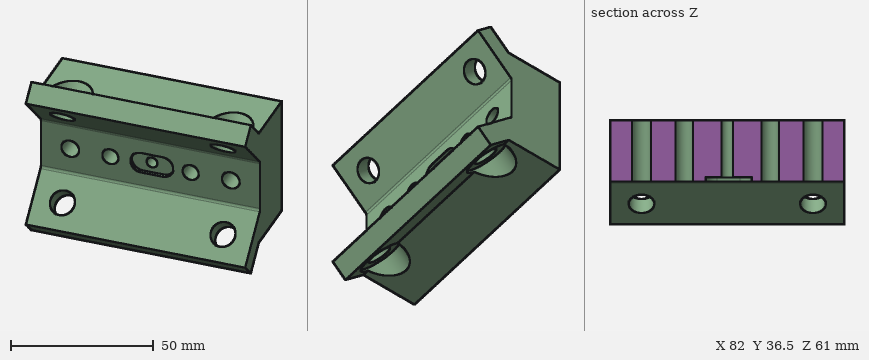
import cadquery as cq
import math

length = 82.0
depth = 36.5
height = 61.02

block_height = 45.0
web_thickness = 21.5
flange_thickness = 8.0
root_fillet = 1.5

flange_hole_spacing = 60.0
flange_hole_diameter = 9.0
flange_hole_inner_z = 17.68
spot_face_diameter = 17.0
spot_face_depth = 1.0

outer_hole_spacing = 60.0
outer_hole_diameter = 6.6
inner_hole_spacing = 30.0
inner_hole_diameter = 6.0
center_hole_diameter = 4.0

slot_length = 16.0
slot_width = 8.0
slot_offset_x = 0.5
slot_depth = 1.5

flange_step = flange_thickness * math.sin(math.radians(45))
tip_z = height / 2
tip_y = -(depth - flange_step)
inner_tip_z = tip_z - flange_step
elbow_z = block_height / 2
elbow_y = tip_y + (tip_z - elbow_z)
root_z = inner_tip_z - (depth - web_thickness)


def make_body():
    """Extrude the symmetric section along X and round the flange roots."""
    upper_half = [
        (0, elbow_z),
        (elbow_y, elbow_z),
        (tip_y, tip_z),
        (-depth, inner_tip_z),
        (-web_thickness, root_z),
    ]
    lower_half = [(y, -z) for y, z in reversed(upper_half)]
    section = cq.Workplane("YZ").polyline(upper_half + lower_half).close()
    body = section.extrude(length / 2, both=True)
    roots = cq.selectors.BoxSelector(
        (-length, -web_thickness - root_fillet, -root_z - root_fillet),
        (length, -web_thickness + root_fillet, root_z + root_fillet),
    )
    return body.edges("|X").edges(roots).fillet(root_fillet)


def flange_hole_cutter(x, side):
    """Hole and spot face on the upper (side = 1) or lower (side = -1) flange."""
    inner_y = -(depth - (inner_tip_z - flange_hole_inner_z))
    outward = cq.Vector(0, 1, side).normalized()
    inner_point = cq.Vector(x, inner_y, side * flange_hole_inner_z)
    floor_point = inner_point + outward * (flange_thickness - spot_face_depth)
    start_point = inner_point - outward * flange_thickness
    hole = cq.Solid.makeCylinder(flange_hole_diameter / 2, depth, start_point, outward)
    spot_face = cq.Solid.makeCylinder(spot_face_diameter / 2, depth, floor_point, outward)
    return hole.fuse(spot_face)


def web_hole_cutter(x, diameter):
    """Straight hole along Y at mid height."""
    return cq.Solid.makeCylinder(diameter / 2, depth, cq.Vector(x, 0, 0), cq.Vector(0, -1, 0))


def slot_cutter():
    """Round-ended slot sunk into the web face."""
    face_plane = cq.Workplane("XZ", origin=(slot_offset_x, -web_thickness, 0))
    return face_plane.slot2D(slot_length, slot_width).extrude(-slot_depth)


result = make_body()
for end in (-1, 1):
    for side in (-1, 1):
        result = result.cut(flange_hole_cutter(end * flange_hole_spacing / 2, side))
    result = result.cut(web_hole_cutter(end * outer_hole_spacing / 2, outer_hole_diameter))
    result = result.cut(web_hole_cutter(end * inner_hole_spacing / 2, inner_hole_diameter))
result = result.cut(web_hole_cutter(0, center_hole_diameter))
result = result.cut(slot_cutter())